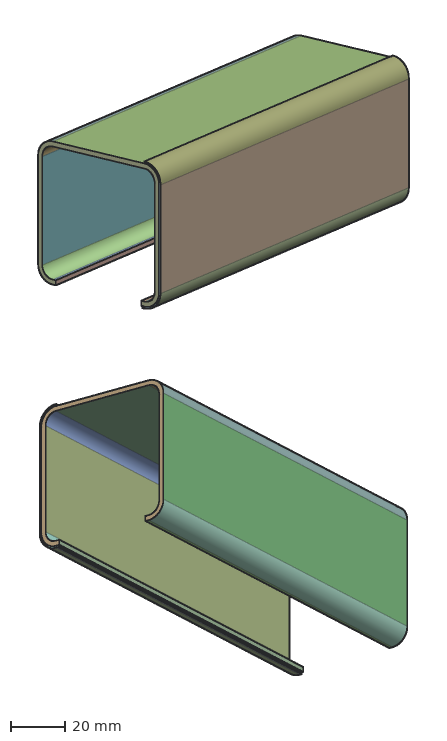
import cadquery as cq
import math

length = 152.4
channel_size = 55.6
wall = 2.0
channel_radius = 6.7
channel_lip = 1.5
cover_thickness = 0.8
cover_lip = 0.9

left = -(channel_size + cover_thickness) / 2
right = left + channel_size
top = channel_size / 2
bottom = -top
bend_right = right - channel_radius
bend_left = left + channel_radius
bend_top = top - channel_radius
bend_bottom = bottom + channel_radius


def bend_point(center_x, center_z, radius, angle):
    """Return a point on a bend, with the angle in degrees from +X towards +Z."""
    radians = math.radians(angle)
    return (center_x + radius * math.cos(radians), center_z + radius * math.sin(radians))


def extrude_along_length(profile):
    """Extrude a closed XZ profile symmetrically along Y."""
    return profile.close().extrude(length / 2, both=True)


def make_channel():
    """Make the open-bottom channel with rounded bends and inward lips."""
    inner_radius = channel_radius - wall
    lip_left = bend_left + channel_lip
    lip_right = bend_right - channel_lip
    profile = (
        cq.Workplane("XZ")
        .moveTo(lip_left, bottom)
        .lineTo(bend_left, bottom)
        .threePointArc(bend_point(bend_left, bend_bottom, channel_radius, 225), (left, bend_bottom))
        .lineTo(left, bend_top)
        .threePointArc(bend_point(bend_left, bend_top, channel_radius, 135), (bend_left, top))
        .lineTo(bend_right, top)
        .threePointArc(bend_point(bend_right, bend_top, channel_radius, 45), (right, bend_top))
        .lineTo(right, bend_bottom)
        .threePointArc(bend_point(bend_right, bend_bottom, channel_radius, 315), (bend_right, bottom))
        .lineTo(lip_right, bottom)
        .lineTo(lip_right, bottom + wall)
        .lineTo(bend_right, bottom + wall)
        .threePointArc(bend_point(bend_right, bend_bottom, inner_radius, 315), (right - wall, bend_bottom))
        .lineTo(right - wall, bend_top)
        .threePointArc(bend_point(bend_right, bend_top, inner_radius, 45), (bend_right, top - wall))
        .lineTo(bend_left, top - wall)
        .threePointArc(bend_point(bend_left, bend_top, inner_radius, 135), (left + wall, bend_top))
        .lineTo(left + wall, bend_bottom)
        .threePointArc(bend_point(bend_left, bend_bottom, inner_radius, 225), (bend_left, bottom + wall))
        .lineTo(lip_left, bottom + wall)
    )
    return extrude_along_length(profile)


def make_cover():
    """Make the thin cover that hugs the +X wall and its two bends."""
    outer_radius = channel_radius + cover_thickness
    outer_right = right + cover_thickness
    outer_top = top + cover_thickness
    outer_bottom = bottom - cover_thickness
    cover_end = bend_right - cover_lip
    profile = (
        cq.Workplane("XZ")
        .moveTo(bend_right, top)
        .lineTo(bend_right, outer_top)
        .threePointArc(bend_point(bend_right, bend_top, outer_radius, 45), (outer_right, bend_top))
        .lineTo(outer_right, bend_bottom)
        .threePointArc(bend_point(bend_right, bend_bottom, outer_radius, 315), (bend_right, outer_bottom))
        .lineTo(cover_end, outer_bottom)
        .lineTo(cover_end, bottom)
        .lineTo(bend_right, bottom)
        .threePointArc(bend_point(bend_right, bend_bottom, channel_radius, 315), (right, bend_bottom))
        .lineTo(right, bend_top)
        .threePointArc(bend_point(bend_right, bend_top, channel_radius, 45), (bend_right, top))
    )
    return extrude_along_length(profile)


channel = make_channel()
cover = make_cover()
result = cq.Compound.makeCompound([channel.val(), cover.val()])